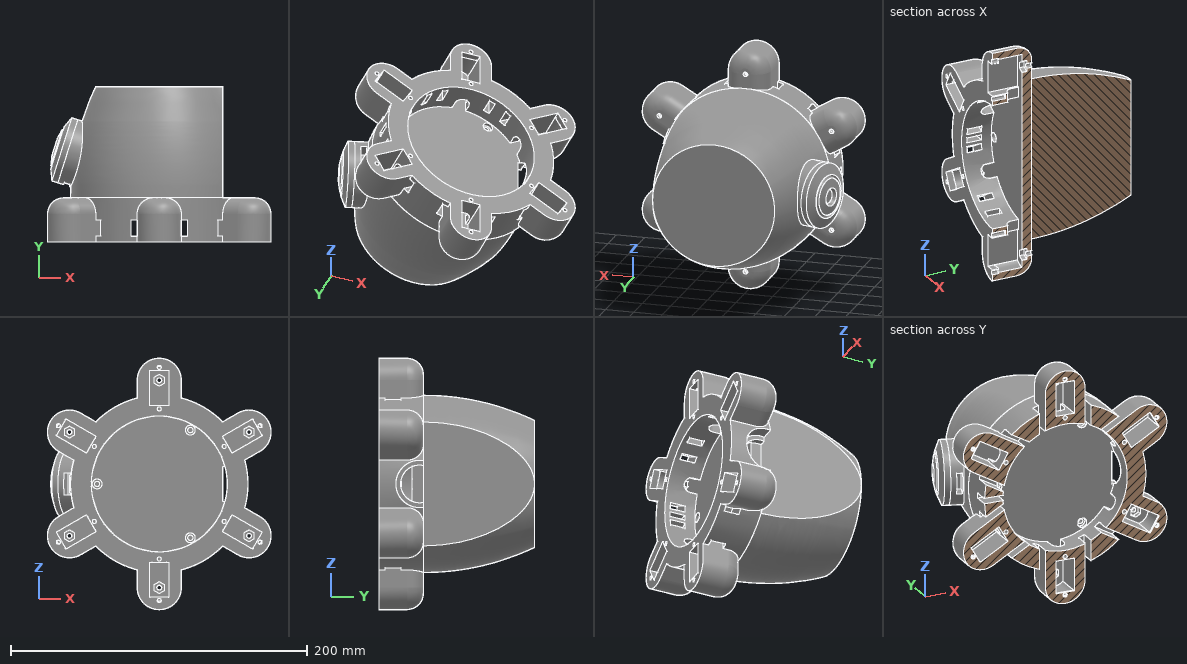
import cadquery as cq
import math

overall_span = 170.0
overall_depth = 105.0
axis_direction = (0, 1, 0)

base_depth = 30.1
ring_radius = 60.0
bore_radius = 45.9
cut_start = bore_radius / 2
floor_start = 22.5

arm_count = 6
arm_first_angle = 30.0
arm_pitch = 360.0 / arm_count
arm_radius = 15.0
arm_end = overall_span / 2 - arm_radius
arm_start = 51.0
arm_rounding = 11.0

pocket_width = 13.1
pocket_inner = 53.0
pocket_outer = 76.5
pocket_lip = 5.0
pocket_end_radius = math.hypot(pocket_outer - arm_end, pocket_width / 2)
pilot_diameter = 2.7
inner_pilot_depth = 10.0
pilot_inner = 50.7
pilot_outer = 78.7
nut_corner_diameter = 8.0
nut_depth = 3.5
bolt_diameter = 3.0

wire_radius = 5.0
wire_bottom = 11.9
slot_start = 4.0
slot_end = 15.0
flank_slot_width = 4.0
single_slot_width = 3.5
single_slot_angle = 180.0
window_radius = 12.8
window_centre_y = 27.4
window_recess_radius = 16.0
window_recess_start = 48.0

screw_angles = (60.0, 180.0, 300.0)
screw_circle_radius = 42.0
screw_diameter = 3.5
screw_head_diameter = 6.6
screw_head_depth = 3.0
screw_hole_in_dome = 10.0

dome_end_radius = 43.0
flat_position = dome_end_radius
dome_depth = overall_depth - base_depth
dome_taper = ring_radius - dome_end_radius
dome_arc_radius = (dome_depth ** 2 + dome_taper ** 2) / (2 * dome_taper)

cap_radius = 22.5
cap_tilt = 17.5
cap_rim_x = -65.8
cap_rim_y = 62.7
cap_thickness = 4.2
cap_crown = 5.6
crown_sphere_radius = (cap_radius ** 2 + cap_crown ** 2) / (2 * cap_crown)
groove_radius = 1.2
groove_circle_radius = 14.0
socket_mouth_radius = 6.3
socket_floor_radius = 4.8
socket_depth = 2.5
boss_length = 15.3
boss_slot_width = 15.0
boss_slot_offset = 4.0
boss_slot_length = 4.0
boss_slot_depth = 10.2


def axial_plane(y=0.0):
    """Sketch plane across the main axis: local X is -X, local Y is +Z, normal is +Y."""
    return cq.Plane(origin=(0, y, 0), xDir=(-1, 0, 0), normal=axis_direction)


def axial_box(x_start, x_end, width, y_start, y_end):
    """Box between two X and two Y positions, centred on Z = 0."""
    block = cq.Workplane("XY").box(x_end - x_start, y_end - y_start, width, centered=(False, False, True))
    return block.translate((x_start, y_start, 0))


def axial_cylinder(x, radius, y_start, y_end):
    """Cylinder along Y, centred on Z = 0."""
    return cq.Workplane(axial_plane(y_start)).center(-x, 0).circle(radius).extrude(y_end - y_start)


def radial_cylinder(x_start, x_end, radius, y):
    """Cylinder along X, centred on Z = 0."""
    return cq.Workplane("YZ").workplane(offset=x_start).center(y, 0).circle(radius).extrude(x_end - x_start)


def around_axis(shape, angle):
    """Turn a shape about the main axis, from +X toward +Z."""
    return shape.rotate((0, 0, 0), axis_direction, -angle)


arm_angles = [arm_first_angle + i * arm_pitch for i in range(arm_count)]



def arm_blank():
    """One arm along +X with a rounded end and a rounded rear edge."""
    slab = axial_box(arm_start, arm_end, 2 * arm_radius, 0, base_depth)
    slab = slab.union(axial_cylinder(arm_end, arm_radius, 0, base_depth))
    return slab.faces(">Y").edges("not <X").fillet(arm_rounding)


def servo_pocket():
    """Rectangular mouth that opens into a chamber with a round outer end."""
    mouth = axial_box(pocket_inner, pocket_outer, pocket_width, 0, floor_start)
    chamber = axial_box(arm_end, arm_end + pocket_end_radius, pocket_width, pocket_lip, floor_start)
    round_end = axial_cylinder(arm_end, pocket_end_radius, pocket_lip, floor_start)
    return mouth.union(chamber.intersect(round_end))


def arm_holes():
    """Pilot holes at both ends of the pocket, the nut recess and its bolt hole."""
    holes = axial_cylinder(pilot_inner, pilot_diameter / 2, 0, inner_pilot_depth)
    holes = holes.union(axial_cylinder(pilot_outer, pilot_diameter / 2, 0, pocket_lip))
    nut = cq.Workplane(axial_plane(floor_start)).center(-arm_end, 0) \
        .polygon(6, nut_corner_diameter).extrude(nut_depth)
    return holes.union(nut).union(axial_cylinder(arm_end, bolt_diameter / 2, floor_start, base_depth))


def wire_passage():
    """Round-bottomed passage from the bore to the pocket, flush with the floor."""
    centre_y = wire_bottom + wire_radius
    round_bottom = radial_cylinder(cut_start, pocket_inner, wire_radius, centre_y)
    passage = round_bottom.union(axial_box(cut_start, pocket_inner, 2 * wire_radius, centre_y, floor_start))
    return passage.intersect(axial_box(cut_start, pocket_inner, 2 * wire_radius, 0, floor_start))


def wall_slot(offset, width):
    """Rectangular slot through the ring wall along +X."""
    return axial_box(cut_start, ring_radius, width, slot_start, slot_end).translate((0, 0, offset))


def screw_hole():
    """Counterbored hole through the base floor."""
    head = axial_cylinder(screw_circle_radius, screw_head_diameter / 2, floor_start, floor_start + screw_head_depth)
    return head.union(axial_cylinder(screw_circle_radius, screw_diameter / 2, floor_start, base_depth))


def cable_window():
    """Round window on the +X side, through the wall and the floor rim, with a wider recess outside."""
    window = radial_cylinder(flat_position, ring_radius, window_radius, window_centre_y)
    recess = radial_cylinder(window_recess_start, ring_radius, window_recess_radius, window_centre_y)
    return window.union(recess)


def make_base():
    base = axial_cylinder(0, ring_radius, 0, base_depth)
    arm = arm_blank()
    for angle in arm_angles:
        base = base.union(around_axis(arm, angle))
    base = base.cut(axial_cylinder(0, bore_radius, 0, floor_start))

    cutters = [servo_pocket(), arm_holes(), wire_passage()]
    for angle in arm_angles:
        for cutter in cutters:
            base = base.cut(around_axis(cutter, angle))

    flank_offset = arm_radius + flank_slot_width / 2
    slot_after_arm = wall_slot(flank_offset, flank_slot_width)
    slot_before_arm = wall_slot(-flank_offset, flank_slot_width)
    for angle in arm_angles[:-1]:
        base = base.cut(around_axis(slot_after_arm, angle))
        base = base.cut(around_axis(slot_before_arm, angle + arm_pitch))

    for angle in screw_angles:
        base = base.cut(around_axis(screw_hole(), angle))
    base = base.cut(around_axis(wall_slot(0, single_slot_width), single_slot_angle))
    return base.cut(cable_window())



tilt = math.radians(cap_tilt)
cap_outward = cq.Vector(-math.cos(tilt), math.sin(tilt), 0)
cap_rim_centre = cq.Vector(cap_rim_x, cap_rim_y, 0)
cap_plane = cq.Plane(origin=cap_rim_centre, xDir=(0, 0, 1), normal=cap_outward)


def make_dome():
    arc_middle_angle = math.asin(dome_depth / dome_arc_radius) / 2
    arc_middle = (ring_radius - dome_arc_radius * (1 - math.cos(arc_middle_angle)),
                  base_depth + dome_arc_radius * math.sin(arc_middle_angle))
    dome = cq.Workplane("XY").moveTo(0, base_depth).lineTo(ring_radius, base_depth) \
        .threePointArc(arc_middle, (dome_end_radius, overall_depth)).lineTo(0, overall_depth).close() \
        .revolve(360, (0, 0, 0), axis_direction)
    dome = dome.cut(axial_box(flat_position, 2 * ring_radius, 2 * ring_radius, base_depth, overall_depth))

    boss = cq.Workplane(cap_plane).workplane(offset=-cap_thickness).circle(cap_radius).extrude(-boss_length)
    slot = cq.Workplane(cap_plane).workplane(offset=-cap_thickness - boss_slot_offset) \
        .center(0, boss_slot_depth / 2 - cap_radius).rect(boss_slot_width, boss_slot_depth) \
        .extrude(-boss_slot_length)
    dome = dome.union(boss).cut(slot)

    for angle in screw_angles:
        hole = axial_cylinder(screw_circle_radius, screw_diameter / 2, base_depth, base_depth + screw_hole_in_dome)
        dome = dome.cut(around_axis(hole, angle))
    return dome


def crown_height(radius):
    """Height of the cap's spherical crown above its rim at a given radius."""
    return math.sqrt(crown_sphere_radius ** 2 - radius ** 2) - crown_sphere_radius + cap_crown


def make_cap():
    part_z = cq.Vector(0, 0, 1)
    profile_plane = cq.Plane(origin=cap_rim_centre, xDir=part_z, normal=part_z.cross(cap_outward))
    half_radius = cap_radius / 2
    axis = ((0, 0), (0, 1))
    cap = cq.Workplane(profile_plane).moveTo(0, -cap_thickness).lineTo(cap_radius, -cap_thickness) \
        .lineTo(cap_radius, 0).threePointArc((half_radius, crown_height(half_radius)), (0, cap_crown)).close() \
        .revolve(360, *axis)
    groove_height = crown_height(groove_circle_radius)
    groove = cq.Workplane(profile_plane).center(groove_circle_radius, groove_height) \
        .circle(groove_radius).revolve(360, (-groove_circle_radius, 0), (-groove_circle_radius, 1))
    mouth = crown_height(socket_mouth_radius)
    socket = cq.Workplane(profile_plane).moveTo(0, mouth - socket_depth) \
        .lineTo(socket_floor_radius, mouth - socket_depth).lineTo(socket_mouth_radius, mouth) \
        .lineTo(socket_mouth_radius, cap_crown).lineTo(0, cap_crown).close().revolve(360, *axis)
    return cap.cut(groove).cut(socket)


base = make_base()
dome = make_dome()
cap = make_cap()

result = cq.Compound.makeCompound([base.val(), dome.val(), cap.val()])